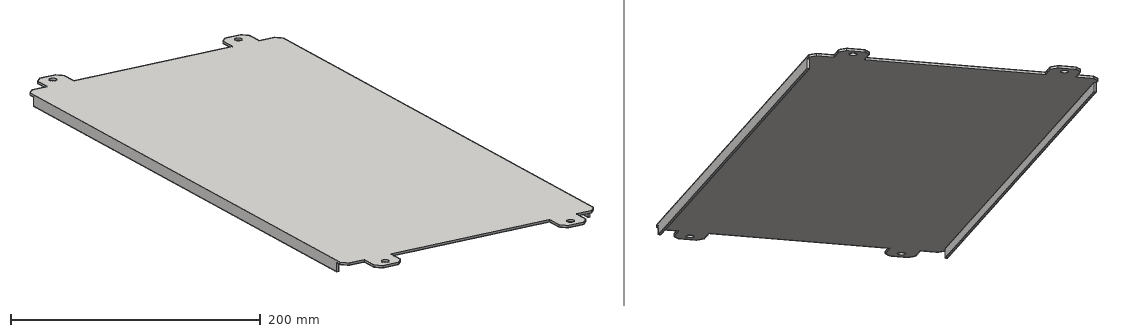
import cadquery as cq

overall_length = 516.0
plate_width = 240.0
overall_height = 10.0
sheet_thickness = 2.0

plate_length = 477.0
plate_corner_cut = 5.0

tab_width = 25.5
tab_spacing = 175.5
tab_corner_cut = 5.0
hole_diameter = 6.0
hole_edge_distance = 8.0

flange_length = 456.0


def chamfered_sheet(length, width, corner_cut):
    """Sheet centred on the origin, with its vertical corners chamfered."""
    sheet = cq.Workplane("XY").box(length, width, sheet_thickness, centered=(True, True, False))
    return sheet.edges("|Z").chamfer(corner_cut)


def flange(side):
    """Flange hanging below the plate, flush with the long side given by the sign of Y."""
    depth = overall_height - sheet_thickness
    center_y = side * (plate_width - sheet_thickness) / 2
    return (
        cq.Workplane("XY")
        .box(flange_length, sheet_thickness, depth, centered=(True, True, False))
        .translate((0, center_y, -depth))
    )


result = chamfered_sheet(plate_length, plate_width, plate_corner_cut)

for side in (-1, 1):
    tab_strip = chamfered_sheet(overall_length, tab_width, tab_corner_cut)
    result = result.union(tab_strip.translate((0, side * tab_spacing / 2, 0)))
    result = result.union(flange(side))

hole_spacing = overall_length - 2 * hole_edge_distance
holes = (
    cq.Workplane("XY")
    .rect(hole_spacing, tab_spacing, forConstruction=True)
    .vertices()
    .circle(hole_diameter / 2)
    .extrude(sheet_thickness)
)
result = result.cut(holes)